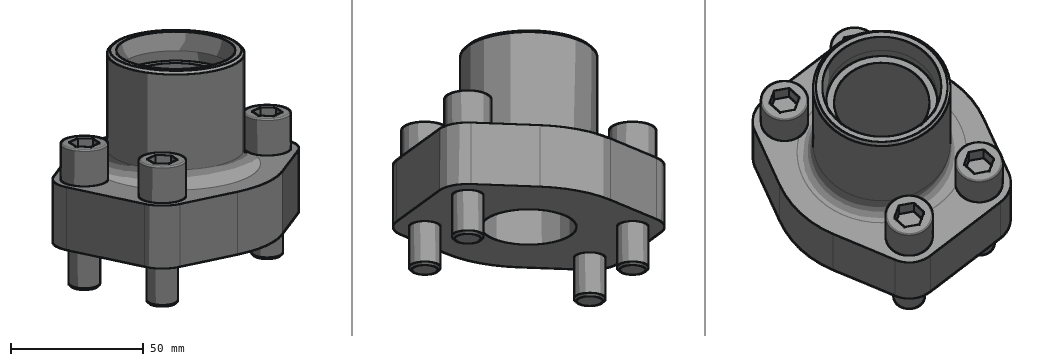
import cadquery as cq
import math

plate_length = 94.0
plate_width = 82.7
plate_thickness = 25.0

screw_spacing_x = 35.7
screw_spacing_y = 69.9
shank_diameter = 12.0
shank_projection = 17.5
shank_tip_chamfer = 1.0
head_diameter = 18.0
head_height = 14.5
head_rim_fillet = 0.6
hex_across_flats = 10.0
hex_depth = 6.0

neck_diameter = 52.0
neck_height = 45.0
neck_chamfer = 1.1
neck_root_fillet = 6.0

bore_diameter = 36.0
seat_diameter = 42.0
seat_depth = 11.0
seat_mouth_diameter = 45.0
seat_half_angle = 12.0

screw_x = screw_spacing_x / 2
screw_y = screw_spacing_y / 2
screw_places = [(sx * screw_x, sy * screw_y) for sx in (-1, 1) for sy in (-1, 1)]
neck_top = plate_thickness + neck_height


def make_plate():
    middle_radius = plate_width / 2
    corner_radius = plate_length / 2 - screw_y

    center_distance = math.hypot(screw_x, screw_y)
    radius_difference = middle_radius - corner_radius
    flat_angle = math.atan2(screw_y, screw_x) - math.acos(radius_difference / center_distance)

    def corner_point(angle):
        return screw_x + corner_radius * math.cos(angle), screw_y + corner_radius * math.sin(angle)

    middle_end_x = middle_radius * math.cos(flat_angle)
    middle_end_y = middle_radius * math.sin(flat_angle)
    flat_end_x, flat_end_y = corner_point(flat_angle)
    corner_mid_x, corner_mid_y = corner_point((flat_angle + math.pi / 2) / 2)
    end_y = plate_length / 2

    return (
        cq.Workplane("XY")
        .moveTo(middle_end_x, -middle_end_y)
        .threePointArc((middle_radius, 0), (middle_end_x, middle_end_y))
        .lineTo(flat_end_x, flat_end_y)
        .threePointArc((corner_mid_x, corner_mid_y), (screw_x, end_y))
        .lineTo(-screw_x, end_y)
        .threePointArc((-corner_mid_x, corner_mid_y), (-flat_end_x, flat_end_y))
        .lineTo(-middle_end_x, middle_end_y)
        .threePointArc((-middle_radius, 0), (-middle_end_x, -middle_end_y))
        .lineTo(-flat_end_x, -flat_end_y)
        .threePointArc((-corner_mid_x, -corner_mid_y), (-screw_x, -end_y))
        .lineTo(screw_x, -end_y)
        .threePointArc((corner_mid_x, -corner_mid_y), (flat_end_x, -flat_end_y))
        .close()
        .extrude(plate_thickness)
    )


def make_neck():
    """Solid neck with its chamfered rim and flared root, as a half profile turned about Z."""
    neck_radius = neck_diameter / 2
    root_radius = neck_radius + neck_root_fillet
    fillet_top = plate_thickness + neck_root_fillet
    fillet_mid_offset = neck_root_fillet * math.sqrt(0.5)
    return (
        cq.Workplane("XZ")
        .moveTo(0, 0)
        .lineTo(root_radius, 0)
        .lineTo(root_radius, plate_thickness)
        .threePointArc(
            (root_radius - fillet_mid_offset, fillet_top - fillet_mid_offset),
            (neck_radius, fillet_top),
        )
        .lineTo(neck_radius, neck_top - neck_chamfer)
        .lineTo(neck_radius - neck_chamfer, neck_top)
        .lineTo(0, neck_top)
        .close()
        .revolve(360, (0, 0), (0, 1))
    )


def make_bore():
    """Bore and tube seat, as a half profile turned about Z."""
    mouth_radius = seat_mouth_diameter / 2
    seat_radius = seat_diameter / 2
    taper_height = (mouth_radius - seat_radius) / math.tan(math.radians(seat_half_angle))
    seat_floor = neck_top - seat_depth
    return (
        cq.Workplane("XZ")
        .moveTo(0, 0)
        .lineTo(bore_diameter / 2, 0)
        .lineTo(bore_diameter / 2, seat_floor)
        .lineTo(seat_radius, seat_floor)
        .lineTo(seat_radius, neck_top - taper_height)
        .lineTo(mouth_radius, neck_top)
        .lineTo(0, neck_top)
        .close()
        .revolve(360, (0, 0), (0, 1))
    )


def make_screw():
    """One screw on the Z axis, its head seated on the plate's upper face."""
    shank = (
        cq.Workplane("XY")
        .workplane(offset=-shank_projection)
        .circle(shank_diameter / 2)
        .extrude(shank_projection + plate_thickness)
        .faces("<Z")
        .chamfer(shank_tip_chamfer)
    )
    head = (
        cq.Workplane("XY")
        .workplane(offset=plate_thickness)
        .circle(head_diameter / 2)
        .extrude(head_height)
        .faces(">Z")
        .fillet(head_rim_fillet)
    )
    return shank.union(head)


def make_hex_socket():
    """Socket cutter on the Z axis, with two corners pointing along Y."""
    across_corners = hex_across_flats / math.cos(math.pi / 6)
    return (
        cq.Workplane("XY")
        .workplane(offset=plate_thickness + head_height - hex_depth)
        .polygon(6, across_corners)
        .extrude(hex_depth)
        .rotate((0, 0, 0), (0, 0, 1), 90)
    )


result = make_plate().union(make_neck()).cut(make_bore())
screw = make_screw()
hex_socket = make_hex_socket()
for x, y in screw_places:
    result = result.union(screw.translate((x, y, 0)))
    result = result.cut(hex_socket.translate((x, y, 0)))